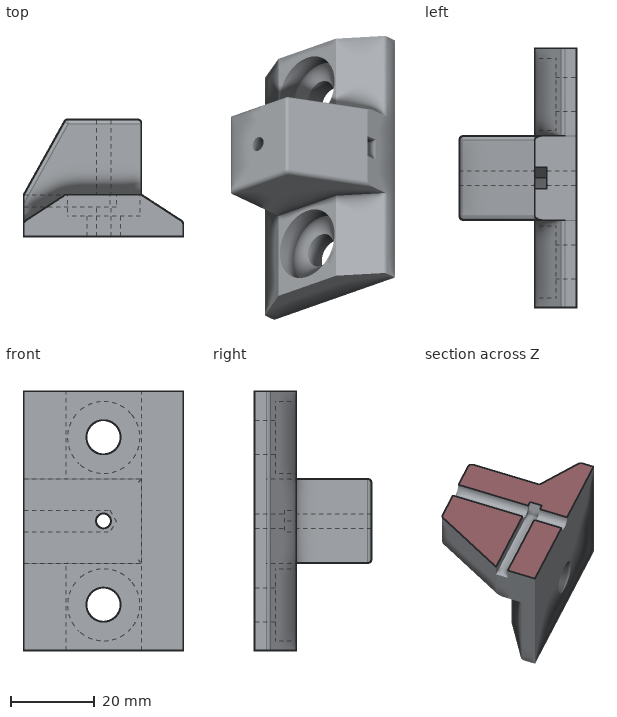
import cadquery as cq
import math

plate_width = 38.15
plate_height = 62.0
plate_thickness = 10.0
bevel_run = 10.0
plate_side_thickness = 3.5
plate_edge_radius = 1.15

block_height = 20.15
block_depth = 28.0
block_edge_radius = 1.0

bolt_hole_diameter = 8.1
bolt_hole_spacing = 40.0
bolt_head_diameter = 17.25
bolt_head_depth = 5.0
screw_hole_diameter = 3.5
nut_sides = 6
nut_corner_diameter = 6.0
nut_slot_bottom = 7.1
nut_slot_top = plate_thickness

left = -plate_width / 2
right = plate_width / 2
crown_half = plate_width / 2 - bevel_run
ramp_rise = block_depth - plate_thickness
nut_flat_width = nut_corner_diameter * math.cos(math.pi / nut_sides)


def extruded_profile(points, height):
    """Closed XY outline extruded symmetrically about Z = 0."""
    return cq.Workplane("XY").polyline(points).close().extrude(height / 2, both=True)


def cylinder_along_y(diameter, length):
    """Cylinder on the Y axis, rising from the front plane."""
    return cq.Workplane("XZ").circle(diameter / 2).extrude(-length)


def make_plate():
    outline = [
        (left, 0),
        (right, 0),
        (right, plate_side_thickness),
        (crown_half, plate_thickness),
        (-crown_half, plate_thickness),
        (left, plate_side_thickness),
    ]
    plate = extruded_profile(outline, plate_height)
    for side_x in (left, right):
        bevel_corner = cq.selectors.NearestToPointSelector((side_x, plate_side_thickness, 0))
        plate = plate.edges("|Z").edges(bevel_corner).fillet(plate_edge_radius)
    return plate


def make_block():
    outline = [
        (left, 0),
        (crown_half, 0),
        (crown_half, block_depth),
        (-crown_half, block_depth),
        (left, plate_thickness),
    ]
    block = extruded_profile(outline, block_height)
    ramp_normal = cq.Vector(-ramp_rise, bevel_run, 0)
    ramp_face = block.faces(cq.selectors.DirectionMinMaxSelector(ramp_normal, True))
    ramp_edges = ramp_face.edges("not |Z")
    rear_edges = block.faces(">Y").edges()
    return rear_edges.add(ramp_edges).fillet(block_edge_radius)


def make_nut_trap():
    """Hexagonal nut seat on the screw axis with an entry slot from the left face."""
    slot_depth = nut_slot_top - nut_slot_bottom
    seat = (
        cq.Workplane("XZ", origin=(0, nut_slot_bottom, 0))
        .polygon(nut_sides, nut_corner_diameter)
        .extrude(-slot_depth)
    )
    entry_length = -left
    entry = cq.Workplane("XY").box(entry_length, slot_depth, nut_flat_width, centered=(False, False, True))
    return seat.union(entry.translate((left, nut_slot_bottom, 0)))


def make_bolt_hole(z):
    """Bolt clearance hole counterbored from the rear of the plate."""
    shank = cylinder_along_y(bolt_hole_diameter, plate_thickness)
    head = cylinder_along_y(bolt_head_diameter, bolt_head_depth)
    head_floor = plate_thickness - bolt_head_depth
    return shank.union(head.translate((0, head_floor, 0))).translate((0, 0, z))


block = make_block()
result = make_plate().cut(block).union(block, clean=False)
for side in (-1, 1):
    result = result.cut(make_bolt_hole(side * bolt_hole_spacing / 2), clean=False)
result = result.cut(cylinder_along_y(screw_hole_diameter, block_depth), clean=False)
result = result.cut(make_nut_trap(), clean=False)